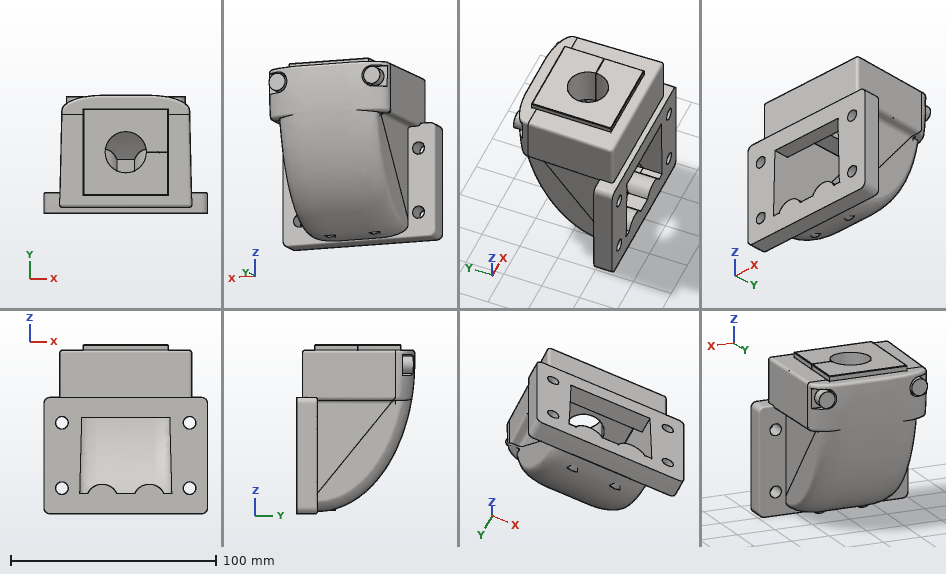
import cadquery as cq
import math

FLANGE_WIDTH = 79.75
FLANGE_HEIGHT = 56.8
FLANGE_THICKNESS = 10.05
FLANGE_CORNER_RADIUS = 3.1
FLANGE_REAR_FILLET = 0.8
PARTING_Y = 4.45
FLANGE_DRAFT = 0.5
MOUNT_HOLE_DIAMETER = 6.0
MOUNT_HOLE_OFFSETS = (-31.1, 31.1)
MOUNT_HOLE_HEIGHTS = (12.5, 44.3)

TOTAL_DEPTH = 57.5
ELBOW_CENTER_Y = FLANGE_THICKNESS
ELBOW_CENTER_Z = 73.65
ELBOW_BOTTOM_Z = 1.15
ELBOW_RADIUS_Y = TOTAL_DEPTH - ELBOW_CENTER_Y
ELBOW_RADIUS_Z = ELBOW_CENTER_Z - ELBOW_BOTTOM_Z
BACK_FLAT_HALF = 11.0
RIM_OVERLAP = 4.1

HEAD_TOP = 79.75
HEAD_BOTTOM = 55.2
HEAD_FRONT_Y = 2.8
HEAD_FRONT_HALF = 32.2
HEAD_REAR_HALF = 31.15
HEAD_CORNER_DEPTH = 7.6
HEAD_EDGE_FILLET = 1.5
HEAD_SECTIONS = 6

NECK_HALF = 25.5
NECK_CORNER_DEPTH = 5.3
SHOULDER_FILLET = 1.65

CAVITY_FLOOR = 10.0
CAVITY_ROOF = 62.6
OPENING_TOP = 46.9
OPENING_TOP_HALF = 21.4
OPENING_BOTTOM_HALF = 22.4
CAVITY_RADIUS_Y = 41.2
CAVITY_RADIUS_Z = 69.2
CAVITY_FLAT_HALF = 14.6
CAVITY_CORNER_DEPTH = 3.7
RIDGE_X = 11.45
RIDGE_AXIS_Z = 6.5
RIDGE_RADIUS = 7.9
BOSS_RADIUS = 4.95
BOSS_END_Y = 18.9

GROMMET_TOP = 82.4
GROMMET_WIDTH = 41.5
GROMMET_DEPTH = 42.0
GROMMET_CENTER_Y = 29.75
GROMMET_CHAMFER = 0.3
BORE_DIAMETER = 20.0
SLIT_WIDTH = 0.3

SCREW_X = 24.7
SCREW_Z = 72.5
SCREW_HEAD_DIAMETER = 8.5
SCREW_SEAT_Y = 51.4
SCREW_HEAD_END_Y = 56.85
SCREW_SHANK_DIAMETER = 4.1
SCREW_TIP_Y = 37.1
SCREW_POCKET_DIAMETER = 10.2

SPLIT_Y = 48.1

GROMMET_FRONT_Y = GROMMET_CENTER_Y - GROMMET_DEPTH / 2
MARGIN = 8.2
SIDES = (-1, 1)


def y_cylinder(x, z, diameter, y_start, y_end):
    """Cylinder along Y."""
    base = cq.Workplane("XZ", origin=(x, y_start, z))
    return base.circle(diameter / 2).extrude(y_start - y_end)


def back_y(z):
    """Y of the rear wall's mid-line at height z; straight above the ellipse centre."""
    drop = max(0.0, ELBOW_CENTER_Z - z) / ELBOW_RADIUS_Z
    return ELBOW_CENTER_Y + ELBOW_RADIUS_Y * math.sqrt(1 - drop**2)


def round_back(outline, half_width, flat_half, corner_depth):
    """Continue a plan outline from its right rear shoulder across the back to its left shoulder."""
    corner_width = half_width - flat_half
    right = outline.ellipseArc(corner_width, corner_depth, 0, 90, startAtCurrent=True)
    flat = right.line(-2 * flat_half, 0)
    return flat.ellipseArc(corner_width, corner_depth, 90, 180, startAtCurrent=True)


def elbow_path(radius_y, radius_z):
    """Quarter ellipse down the back, from level with the elbow centre to straight below it."""
    center = cq.Workplane("YZ", origin=(0, ELBOW_CENTER_Y, ELBOW_CENTER_Z))
    return center.ellipseArc(radius_y, radius_z, -90, 0, startAtCurrent=False)


def quarter_elbow(half_width, flat_half, corner_depth, radius_y, radius_z):
    """Quarter-ellipse bend with rounded back corners: a rim swept down the back round a flat core."""
    rim_section = (
        cq.Workplane("XZ", origin=(0, ELBOW_CENTER_Y, ELBOW_CENTER_Z - radius_z))
        .transformed(rotate=(0, 0, 180))
        .moveTo(half_width, -corner_depth - RIM_OVERLAP)
        .lineTo(half_width, -corner_depth)
    )
    rim_section = round_back(rim_section, half_width, flat_half, corner_depth)
    rim_section = rim_section.line(0, -RIM_OVERLAP).close()
    rim = rim_section.sweep(elbow_path(radius_y, radius_z))
    core_inset = corner_depth + RIM_OVERLAP / 2
    core = (
        elbow_path(radius_y - core_inset, radius_z - core_inset)
        .lineTo(0, 0)
        .close()
        .extrude(2 * half_width)
        .translate((-half_width, 0, 0))
    )
    return rim.union(core)


def make_flange():
    """Rounded plate in two layers, each drafted away from the parting line."""
    outline = (
        cq.Sketch()
        .rect(FLANGE_WIDTH, FLANGE_HEIGHT)
        .vertices()
        .fillet(FLANGE_CORNER_RADIUS)
    )
    parting = cq.Workplane("XZ", origin=(0, PARTING_Y, FLANGE_HEIGHT / 2)).placeSketch(outline)
    front_layer = parting.extrude(PARTING_Y, taper=FLANGE_DRAFT)
    rear_layer = parting.extrude(PARTING_Y - FLANGE_THICKNESS, taper=FLANGE_DRAFT)
    plate = front_layer.union(rear_layer)
    return plate.faces(">Y").edges().fillet(FLANGE_REAR_FILLET)


def make_head():
    """Loft of plan outlines whose backs follow the rear wall."""
    step = (HEAD_TOP - HEAD_BOTTOM) / (HEAD_SECTIONS - 1)
    wires = []
    for index in range(HEAD_SECTIONS):
        z = HEAD_BOTTOM + index * step
        outline = (
            cq.Workplane("XY", origin=(0, 0, z))
            .moveTo(-HEAD_FRONT_HALF, HEAD_FRONT_Y)
            .lineTo(HEAD_FRONT_HALF, HEAD_FRONT_Y)
            .lineTo(HEAD_REAR_HALF, back_y(z) - HEAD_CORNER_DEPTH)
        )
        wires.append(round_back(outline, HEAD_REAR_HALF, BACK_FLAT_HALF, HEAD_CORNER_DEPTH).close().val())
    head = cq.Workplane(cq.Solid.makeLoft(wires))
    front_corners = head.faces("<Y").edges("<X or >X")
    rims = head.faces("<Z or >Z").edges()
    return rims.add(front_corners).fillet(HEAD_EDGE_FILLET)


def make_neck():
    return quarter_elbow(NECK_HALF, BACK_FLAT_HALF, NECK_CORNER_DEPTH, ELBOW_RADIUS_Y, ELBOW_RADIUS_Z)


def make_shoulder(side):
    """Concave fillet along the straight side of the neck, under the head."""
    arc_reach = SHOULDER_FILLET * (1 - math.sin(math.pi / 4))
    inside = HEAD_EDGE_FILLET
    return (
        cq.Workplane("XZ", origin=(side * NECK_HALF, FLANGE_THICKNESS, HEAD_BOTTOM))
        .moveTo(0, -SHOULDER_FILLET)
        .threePointArc((side * arc_reach, -arc_reach), (side * SHOULDER_FILLET, 0))
        .line(0, inside)
        .line(-side * (SHOULDER_FILLET + inside), 0)
        .line(0, -SHOULDER_FILLET - inside)
        .close()
        .extrude(FLANGE_THICKNESS - SPLIT_Y)
    )


def make_elbow():
    """Head and neck joined."""
    elbow = make_neck().union(make_head())
    for side in SIDES:
        elbow = elbow.union(make_shoulder(side))
    return elbow


def make_boss(side):
    """Round boss that breaks out through the bottom of the cover under one ridge."""
    return y_cylinder(side * RIDGE_X, RIDGE_AXIS_Z, 2 * BOSS_RADIUS, FLANGE_THICKNESS, BOSS_END_Y)


def cavity_box(y_front, y_back, top):
    """Box from the base up to `top`, wide enough to be trimmed by the cavity's cross-section."""
    corner = cq.Workplane("XY", origin=(0, y_front, 0))
    return corner.box(FLANGE_WIDTH, y_back - y_front, top, centered=(True, False, False))


def make_cavity():
    """Space inside the elbow, with two floor ridges left standing."""
    side_slope = (OPENING_BOTTOM_HALF - OPENING_TOP_HALF) / (OPENING_TOP - CAVITY_FLOOR)
    roof_half = OPENING_TOP_HALF - side_slope * (CAVITY_ROOF - OPENING_TOP)
    cross_section = (
        cq.Workplane("XZ", origin=(0, -MARGIN, 0))
        .polyline(
            [
                (-OPENING_BOTTOM_HALF, CAVITY_FLOOR),
                (OPENING_BOTTOM_HALF, CAVITY_FLOOR),
                (roof_half, CAVITY_ROOF),
                (-roof_half, CAVITY_ROOF),
            ]
        )
        .close()
        .extrude(-TOTAL_DEPTH - MARGIN)
    )
    bend = quarter_elbow(
        OPENING_BOTTOM_HALF, CAVITY_FLAT_HALF, CAVITY_CORNER_DEPTH, CAVITY_RADIUS_Y, CAVITY_RADIUS_Z
    )
    mouth = cavity_box(-MARGIN, ELBOW_CENTER_Y, OPENING_TOP)
    above_mouth = cavity_box(GROMMET_FRONT_Y, ELBOW_CENTER_Y, CAVITY_ROOF)
    cavity = cross_section.intersect(bend.union(mouth).union(above_mouth))
    for side in SIDES:
        cavity = cavity.cut(
            y_cylinder(side * RIDGE_X, RIDGE_AXIS_Z, 2 * RIDGE_RADIUS, -2 * MARGIN, TOTAL_DEPTH)
        )
    return cavity


def make_grommet_block():
    """Plain block that the grommet is made from and that its pocket matches."""
    return (
        cq.Workplane("XY", origin=(0, GROMMET_CENTER_Y, CAVITY_ROOF))
        .rect(GROMMET_WIDTH, GROMMET_DEPTH)
        .extrude(GROMMET_TOP - CAVITY_ROOF)
    )


def make_grommet():
    slit = (
        cq.Workplane("XY", origin=(0, GROMMET_CENTER_Y, CAVITY_ROOF))
        .rect(GROMMET_WIDTH + MARGIN, SLIT_WIDTH)
        .extrude(GROMMET_TOP - CAVITY_ROOF)
        .translate(((GROMMET_WIDTH + MARGIN) / 2, 0, 0))
    )
    block = make_grommet_block().faces(">Z").edges().chamfer(GROMMET_CHAMFER)
    return block.faces(">Z").workplane(origin=(0, GROMMET_CENTER_Y, 0)).hole(BORE_DIAMETER).cut(slit)


def make_screw(side):
    x = side * SCREW_X
    shank = y_cylinder(x, SCREW_Z, SCREW_SHANK_DIAMETER, SCREW_TIP_Y, SCREW_SEAT_Y)
    head = y_cylinder(x, SCREW_Z, SCREW_HEAD_DIAMETER, SCREW_SEAT_Y, SCREW_HEAD_END_Y)
    return shank.union(head)


def make_screw_pocket(side):
    """Round recess behind a screw's seat, open to the back and to the side of the head."""
    x = side * SCREW_X
    y_end = TOTAL_DEPTH + MARGIN
    recess = y_cylinder(x, SCREW_Z, SCREW_POCKET_DIAMETER, SCREW_SEAT_Y, y_end)
    side_opening = (
        cq.Workplane("XZ", origin=(x + side * MARGIN / 2, SCREW_SEAT_Y, SCREW_Z))
        .rect(MARGIN, SCREW_POCKET_DIAMETER)
        .extrude(SCREW_SEAT_Y - y_end)
    )
    return recess.union(side_opening)


def make_housing_shell():
    """Whole housing, before it is split into frame and cover."""
    shell = make_elbow().union(make_flange())
    for side in SIDES:
        shell = shell.union(make_boss(side))
    shell = shell.cut(make_cavity()).cut(make_grommet_block())
    for x in MOUNT_HOLE_OFFSETS:
        for z in MOUNT_HOLE_HEIGHTS:
            shell = shell.cut(y_cylinder(x, z, MOUNT_HOLE_DIAMETER, -MARGIN, FLANGE_THICKNESS + MARGIN))
    for side in SIDES:
        shell = shell.cut(make_screw_pocket(side))
        shell = shell.cut(make_screw(side))
    return shell


def make_cover_region():
    """Space behind the split: upright through the head, then sloping down to the flange's back."""
    below = -MARGIN
    above = GROMMET_TOP + MARGIN
    behind = TOTAL_DEPTH + MARGIN
    return (
        cq.Workplane("YZ")
        .polyline(
            [
                (SPLIT_Y, above),
                (SPLIT_Y, FLANGE_HEIGHT),
                (FLANGE_THICKNESS, CAVITY_FLOOR),
                (FLANGE_THICKNESS, below),
                (behind, below),
                (behind, above),
            ]
        )
        .close()
        .extrude(FLANGE_WIDTH, both=True)
    )


shell = make_housing_shell()
cover_region = make_cover_region()
frame = shell.cut(cover_region)
cover = shell.intersect(cover_region)
grommet = make_grommet()
screws = [make_screw(side).val() for side in SIDES]

result = cq.Compound.makeCompound([frame.val(), cover.val(), grommet.val(), *screws])